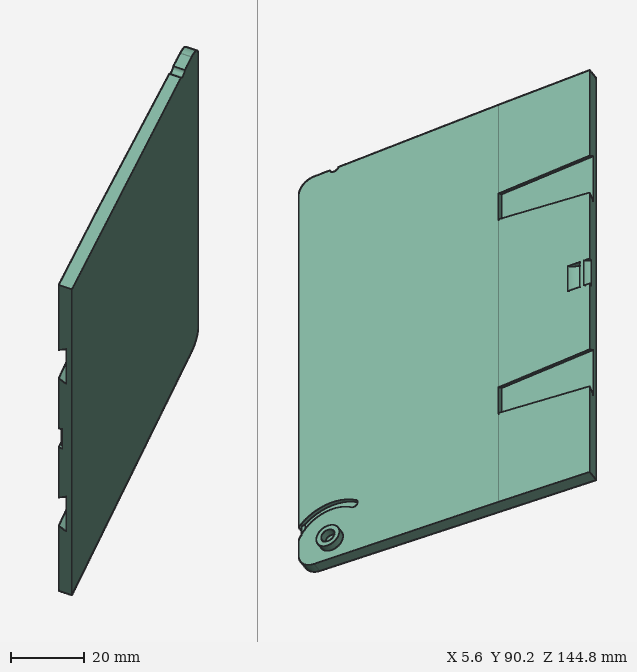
import cadquery as cq
import math

LENGTH = 144.8
WIDTH = 90.2
TOTAL_DEPTH = 5.6
MID_Z = LENGTH / 2
THICK_FRONT = 3.9
THICK_REAR = 3.3
CREASE_Y = 28.2
EDGE_DROP = 2.8
CORNER_RADIUS = 4.9

OVERCUT = 1.5

PIVOT_Y = 79.9
PIVOT_Z = 8.8
BOSS_DIAMETER = 7.1
BORE_DIAMETER = 4.0
BORE_DEPTH = 2.3

GROOVE_INNER = 11.1
GROOVE_OUTER = 13.6
GROOVE_END_ANGLE = 33.5
GROOVE_DEPTH = 1.2
BUMP_START = 1.5
BUMP_CREST = 0.6
BUMP_RISE = 0.5
BUMP_FALL = 0.5

NOTCH_Y = 79.2
NOTCH_RADIUS = 1.5
NOTCH_RISE = 0.5

DOVETAIL_OFFSET = 34.9
DOVETAIL_DEPTH = 2.2
DOVETAIL_FRONT_WIDTH = 13.3
DOVETAIL_REAR_WIDTH = 9.3
DOVETAIL_UNDERCUT = 1.5

CATCH_HEIGHT = 9.0
CATCH_DEPTH = 1.5
CATCH_LENGTH = 3.8
POCKET_REAR_Y = 6.8
EDGE_CATCH_REAR_Y = 1.7


def face_x(y):
    """X of the detailed face: flat up to the crease, then tapering to the rear."""
    taper = max(0.0, (y - CREASE_Y) / (WIDTH - CREASE_Y))
    return -THICK_FRONT + taper * (THICK_FRONT - THICK_REAR)


def extrude_yz(points, x_start, x_end):
    """Prism with a Y-Z outline between two X positions."""
    outline = cq.Workplane("YZ", origin=(x_start, 0, 0)).polyline(points).close()
    return outline.extrude(x_end - x_start)


def extrude_xy(points, z_start, z_end):
    """Prism with an X-Y outline between two heights."""
    outline = cq.Workplane("XY", origin=(0, 0, z_start)).polyline(points).close()
    return outline.extrude(z_end - z_start)


def cylinder_x(y, z, radius, x_start, x_end):
    """Cylinder along X between two X positions."""
    circle = cq.Workplane("YZ", origin=(x_start, y, z)).circle(radius)
    return circle.extrude(x_end - x_start)


def make_plate():
    """Tapered plate with drawn-in long edges and rounded rear corners."""
    outline = [(0, 0), (WIDTH, EDGE_DROP), (WIDTH, LENGTH - EDGE_DROP), (0, LENGTH)]
    blank = extrude_yz(outline, -TOTAL_DEPTH, 0)
    blank = blank.edges("|X and >Y").fillet(CORNER_RADIUS)
    section = [
        (0, 0),
        (-THICK_FRONT, 0),
        (-THICK_FRONT, CREASE_Y),
        (-THICK_REAR, WIDTH),
        (0, WIDTH),
    ]
    return blank.intersect(extrude_xy(section, 0, LENGTH))


def make_boss():
    """Solid pivot boss, rooted inside the plate."""
    return cylinder_x(PIVOT_Y, PIVOT_Z, BOSS_DIAMETER / 2, -TOTAL_DEPTH, -THICK_REAR / 2)


def make_bore():
    """Blind bore in the boss."""
    return cylinder_x(PIVOT_Y, PIVOT_Z, BORE_DIAMETER / 2, -TOTAL_DEPTH, -TOTAL_DEPTH + BORE_DEPTH)


def pivot_point(radius, angle):
    """Y-Z point around the pivot, with the angle measured from +Z toward -Y."""
    turn = math.radians(angle)
    return (PIVOT_Y - radius * math.sin(turn), PIVOT_Z + radius * math.cos(turn))


def make_groove():
    """Curved groove that leaves through the rear edge over a small snap bump."""
    exit_angle = -90
    mid_angle = (GROOVE_END_ANGLE + exit_angle) / 2
    band = (
        cq.Workplane("YZ", origin=(-TOTAL_DEPTH, 0, 0))
        .moveTo(*pivot_point(GROOVE_OUTER, exit_angle))
        .threePointArc(
            pivot_point(GROOVE_OUTER, mid_angle), pivot_point(GROOVE_OUTER, GROOVE_END_ANGLE)
        )
        .tangentArcPoint(pivot_point(GROOVE_INNER, GROOVE_END_ANGLE), relative=False)
        .threePointArc(
            pivot_point(GROOVE_INNER, mid_angle), pivot_point(GROOVE_INNER, exit_angle)
        )
        .close()
        .extrude(TOTAL_DEPTH)
    )
    inner_y = PIVOT_Y - GROOVE_OUTER
    bump_y = WIDTH - BUMP_START
    crest_y = WIDTH - BUMP_CREST
    floor_profile = [
        (-TOTAL_DEPTH, inner_y),
        (face_x(inner_y) + GROOVE_DEPTH, inner_y),
        (face_x(bump_y) + GROOVE_DEPTH, bump_y),
        (face_x(crest_y) + GROOVE_DEPTH - BUMP_RISE, crest_y),
        (face_x(WIDTH) + GROOVE_DEPTH + BUMP_FALL, WIDTH),
        (face_x(WIDTH) + GROOVE_DEPTH + BUMP_FALL, WIDTH + OVERCUT),
        (-TOTAL_DEPTH, WIDTH + OVERCUT),
    ]
    return band.intersect(extrude_xy(floor_profile, PIVOT_Z, PIVOT_Z + 2 * GROOVE_OUTER))


def make_notch():
    """Round notch across the upper edge."""
    edge_z = LENGTH - EDGE_DROP * NOTCH_Y / WIDTH
    return cylinder_x(NOTCH_Y, edge_z + NOTCH_RISE, NOTCH_RADIUS, -TOTAL_DEPTH, OVERCUT)


def make_dovetail(center_z):
    """Undercut recess, open at the front edge and narrowing toward the crease."""

    def section(width):
        half = width / 2
        floor_half = half + DOVETAIL_UNDERCUT
        floor_x = -THICK_FRONT + DOVETAIL_DEPTH
        return [
            (-THICK_FRONT, center_z - half),
            (-THICK_FRONT, center_z + half),
            (floor_x, center_z + floor_half),
            (floor_x, center_z - floor_half),
        ]

    return (
        cq.Workplane("XZ")
        .polyline(section(DOVETAIL_FRONT_WIDTH))
        .close()
        .workplane(offset=-CREASE_Y)
        .polyline(section(DOVETAIL_REAR_WIDTH))
        .close()
        .loft(ruled=True)
    )


def make_catch(rear_y):
    """Pocket whose hollow floor curves from the face at its rear end to a flat tangent in front."""
    floor_x = -THICK_FRONT + CATCH_DEPTH
    front_y = rear_y - CATCH_LENGTH
    floor_radius = (CATCH_LENGTH**2 + CATCH_DEPTH**2) / (2 * CATCH_DEPTH)
    half_sweep = math.atan(CATCH_DEPTH / CATCH_LENGTH)
    arc_middle = (
        floor_x - floor_radius * (1 - math.cos(half_sweep)),
        front_y + floor_radius * math.sin(half_sweep),
    )
    return (
        cq.Workplane("XY", origin=(0, 0, MID_Z - CATCH_HEIGHT / 2))
        .moveTo(-THICK_FRONT, front_y)
        .lineTo(floor_x, front_y)
        .threePointArc(arc_middle, (-THICK_FRONT, rear_y))
        .close()
        .extrude(CATCH_HEIGHT)
    )


result = make_plate().cut(make_groove()).cut(make_notch())
result = result.union(make_boss()).cut(make_bore())
for side in (-1, 1):
    result = result.cut(make_dovetail(MID_Z + side * DOVETAIL_OFFSET))
result = result.cut(make_catch(POCKET_REAR_Y))
result = result.cut(make_catch(EDGE_CATCH_REAR_Y))